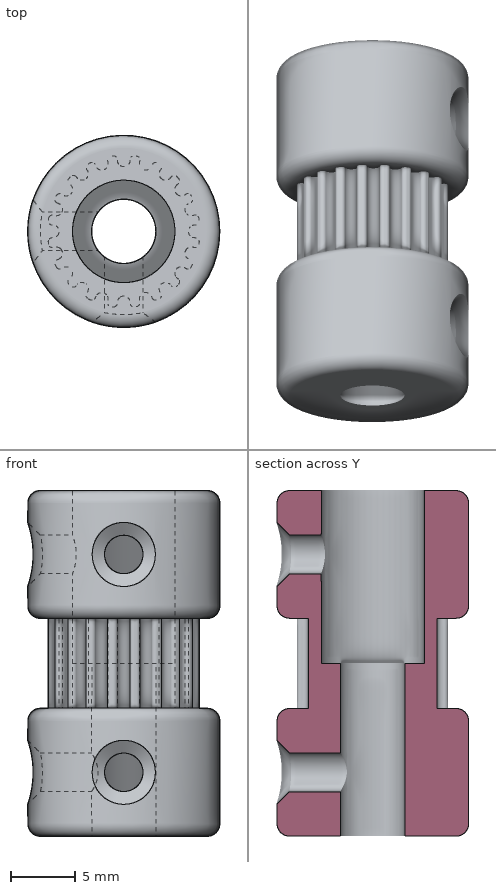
import cadquery as cq

hub_diameter = 15.0
hub_height = 10.0
hub_edge_radius = 1.0
tooth_section_height = 7.0
total_height = 2 * hub_height + tooth_section_height
hub_bases = (0, hub_height + tooth_section_height)

lower_bore_diameter = 5.0
upper_bore_diameter = 8.0
bore_step_height = total_height / 2

tooth_count = 20
tip_diameter = 11.9
groove_depth = 0.9
groove_radius = 0.5
tip_edge_radius = 0.3

screw_diameter = 3.0
screw_chamfer = 1.0
screw_directions = (cq.Vector(-1, 0, 0), cq.Vector(0, -1, 0))


def make_disc(diameter, base_height, height):
    """Solid cylinder about the Z axis."""
    return cq.Workplane("XY").workplane(offset=base_height).circle(diameter / 2).extrude(height)


def add_screw_hole(hub, direction, height):
    """Drill from the axis out through one side of the hub and chamfer the mouth."""
    hub_radius = hub_diameter / 2
    axis_point = cq.Vector(0, 0, height)
    mouth_center = axis_point + direction * hub_radius
    drill = cq.Solid.makeCylinder(screw_diameter / 2, hub_diameter, axis_point, direction)
    drilled = hub.cut(cq.Workplane(obj=drill))
    half_box = cq.Vector(1, 1, 1) * (screw_diameter / 2)
    mouth = cq.selectors.BoxSelector(
        (mouth_center - half_box).toTuple(), (mouth_center + half_box).toTuple()
    )
    return drilled.edges(mouth).chamfer(screw_chamfer)


def make_hub(base_height):
    hub = make_disc(hub_diameter, base_height, hub_height)
    hub = hub.edges("%CIRCLE").fillet(hub_edge_radius)
    for direction in screw_directions:
        hub = add_screw_hole(hub, direction, base_height + hub_height / 2)
    return hub


def make_tooth_section():
    """Cylinder with evenly spaced belt grooves, one of them centred on +X."""
    groove_center_radius = tip_diameter / 2 - groove_depth + groove_radius
    grooves = (
        cq.Workplane("XY")
        .workplane(offset=hub_height)
        .polarArray(groove_center_radius, 0, 360, tooth_count)
        .circle(groove_radius)
        .extrude(tooth_section_height)
    )
    section = make_disc(tip_diameter, hub_height, tooth_section_height).cut(grooves)
    return section.edges("|Z").fillet(tip_edge_radius)


def make_bore():
    lower = make_disc(lower_bore_diameter, 0, bore_step_height)
    upper = make_disc(upper_bore_diameter, bore_step_height, total_height - bore_step_height)
    return lower.union(upper)


result = make_tooth_section()
for hub_base in hub_bases:
    result = result.union(make_hub(hub_base))
result = result.cut(make_bore())